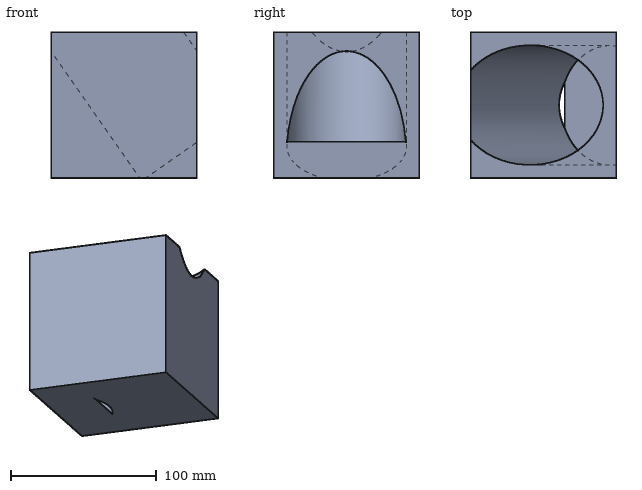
import cadquery as cq
import math

side = 100.0

bore_radius = 41.0
bore_tilt = 35.0
bore_entry_x = -9.2
bore_depth = 95.5
bore_overrun = 100.0

tilt = math.radians(bore_tilt)
down_axis = cq.Vector(math.sin(tilt), 0, -math.cos(tilt))
bore_entry = cq.Vector(bore_entry_x, 0, side / 2)
bore_start = bore_entry - down_axis * bore_overrun

block = cq.Workplane("XY").box(side, side, side)
bore = cq.Solid.makeCylinder(bore_radius, bore_overrun + bore_depth, bore_start, down_axis)

result = block.cut(cq.Workplane(obj=bore))